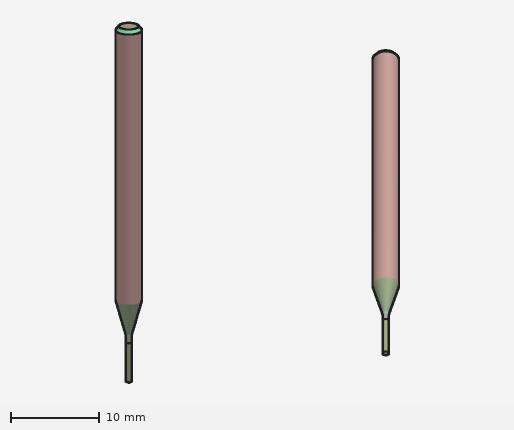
import math

import cadquery as cq

TOTAL_LENGTH = 43.0

TIP_DIAMETER = 0.75
POINT_HEIGHT = 0.2
TIP_LENGTH = 4.9

SHANK_DIAMETER = 3.0
NECK_DIAMETER = TIP_DIAMETER
TAPER_TOP = 9.95
TAPER_HALF_ANGLE = math.radians(15.5)
NECK_FILLET_RADIUS = 1.0
CHAMFER_WIDTH = 0.4
CHAMFER_HEIGHT = 0.47


def revolve_outline(outline):
    """Turn a closed outline of radius and height around the Z axis."""
    return outline.close().revolve(360, (0, 0), (0, 1))


def make_cutting_tip():
    """Slender cylinder with a conical point at its lower end."""
    radius = TIP_DIAMETER / 2
    outline = (
        cq.Workplane("XZ")
        .lineTo(radius, POINT_HEIGHT)
        .lineTo(radius, TIP_LENGTH)
        .lineTo(0, TIP_LENGTH)
    )
    return revolve_outline(outline)


def make_shank():
    """Neck blending through a tangent fillet into the tapered shank."""
    neck_radius = NECK_DIAMETER / 2
    shank_radius = SHANK_DIAMETER / 2

    fillet_top_radius = neck_radius + NECK_FILLET_RADIUS * (1 - math.cos(TAPER_HALF_ANGLE))
    fillet_top = TAPER_TOP - (shank_radius - fillet_top_radius) / math.tan(TAPER_HALF_ANGLE)
    neck_top = fillet_top - NECK_FILLET_RADIUS * math.sin(TAPER_HALF_ANGLE)

    outline = (
        cq.Workplane("XZ")
        .moveTo(0, TIP_LENGTH)
        .lineTo(neck_radius, TIP_LENGTH)
        .lineTo(neck_radius, neck_top)
        .tangentArcPoint((fillet_top_radius, fillet_top), relative=False)
        .lineTo(shank_radius, TAPER_TOP)
        .lineTo(shank_radius, TOTAL_LENGTH - CHAMFER_HEIGHT)
        .lineTo(shank_radius - CHAMFER_WIDTH, TOTAL_LENGTH)
        .lineTo(0, TOTAL_LENGTH)
    )
    return revolve_outline(outline)


cutting_tip = make_cutting_tip()
shank = make_shank()

result = cq.Compound.makeCompound([cutting_tip.val(), shank.val()])